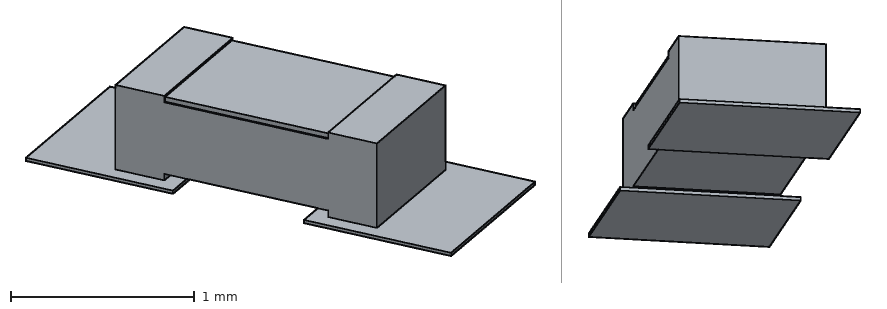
import cadquery as cq

overall_length = 2.6
pad_width = 1.0
pad_gap = 0.8
pad_thickness = 0.02
pad_length = (overall_length - pad_gap) / 2

overall_height = 0.53
chip_length = 1.6
chip_width = 0.816
terminal_length = 0.3
bottom_relief = 0.04
coating_recess = 0.01
coating_thickness = 0.029
coating_side_inset = 0.01
chip_height = overall_height - pad_thickness
middle_length = chip_length - 2 * terminal_length
shoulder_depth = coating_recess + coating_thickness


def make_box(length, width, height, center_x, bottom_z):
    """Return a box centred on Y, standing on the given height."""
    return (
        cq.Workplane("XY")
        .box(length, width, height, centered=(True, True, False))
        .translate((center_x, 0, bottom_z))
    )


def make_pad(center_x):
    """Return one thin solder pad lying on Z = 0."""
    return make_box(pad_length, pad_width, pad_thickness, center_x, 0)


def make_chip():
    """Return the resistor: taller end terminals, with a coated middle between them."""
    chip = make_box(chip_length, chip_width, chip_height, 0, pad_thickness)

    relief = make_box(middle_length, chip_width, bottom_relief, 0, pad_thickness)
    chip = chip.cut(relief)

    shoulder_z = overall_height - shoulder_depth
    recess = make_box(middle_length, chip_width, shoulder_depth, 0, shoulder_z)
    coating_width = chip_width - 2 * coating_side_inset
    coating = make_box(middle_length, coating_width, coating_thickness, 0, shoulder_z)
    return chip.cut(recess).union(coating)


chip = make_chip()
pad_offset = (pad_gap + pad_length) / 2
pads = [make_pad(side * pad_offset) for side in (-1, 1)]

result = cq.Compound.makeCompound([chip.solids().val(), *[pad.val() for pad in pads]])